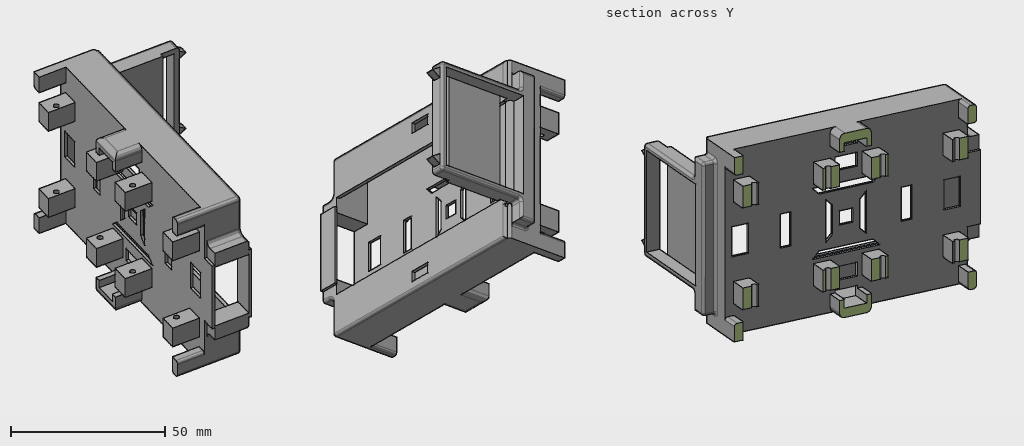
import cadquery as cq

length = 100.0
end_depth = 4.9
body_left = end_depth
body_right = length - end_depth
body_mid = length / 2
half_height = 32.5
plate_front = 10.1
plate_thickness = 1.0
body_back = 24.0
wall = 2.0
flange_thickness = 1.3
edge_radius = 1.0
corner_radius = 1.3
pick_margin = 0.1

flange_inner = 17.7
flange_slot_inner = 25.2

window_half_width = 4.1
outer_window = (25.1, 29.0)
inner_window = (16.9, 21.8)
middle_windows = ((2.5, 2.5, 0), (2.0, 6.0, 22.5), (3.1, 5.3, 39.5))
long_slot_reach = 12.5
side_slot_reach = 7.6
trapezoid_width = 2.5

pillar_z = (14.0, 21.8)
outer_pillar = (36.0, 42.0)
inner_pillar = (5.9, 12.2)
pin_offsets = (10.2, 37.7)
pin_diameter = 1.9
pin_depth = 4.0
foot_width = 3.3
foot_inner = 26.0

bracket_half_width = 6.0
bracket_radius = 2.0

socket_inner = 13.0
passage_half = 12.2
socket_outer = 18.0
socket_lip = 1.0
cap_start = 92.7
lug_fillet = 2.0

post_half_height = 27.0
post_front = 15.9
post_back = 22.0
frame_outer = 19.9
frame_rail = 2.0
opening_half = frame_outer - frame_rail
frame_top = 55.0
opening_bottom = 21.0
panel_y = (26.9, 48.0)
panel_thickness = 1.3
tooth_tip = 58.0
tooth_offset = 15.8
tooth_half_height = 1.9
tooth_x = (1.0, 4.0)
recess_radius = 2.0


def block(x_range, y_range, z_range):
    """Axis-aligned box given by its range along each axis."""
    size = [high - low for low, high in (x_range, y_range, z_range)]
    corner = (x_range[0], y_range[0], z_range[0])
    return cq.Workplane("XY").box(*size, centered=False).translate(corner)


def with_mirror(shape, plane, base=(0, 0, 0)):
    """The shape together with its mirror image."""
    return shape.union(shape.mirror(plane, base))


def both_z(shape):
    return with_mirror(shape, "XY")


def both_x(shape):
    return with_mirror(shape, "YZ", (body_mid, 0, 0))


def prism_y(points, y_start, y_end):
    """Prism along Y with an outline given in X and Z."""
    outline = cq.Workplane("XZ", origin=(0, y_start, 0)).polyline(points).close()
    return outline.extrude(y_start - y_end)


def edge_picker(x_range, y_range, z_range):
    """Selector for the edges centred within the given ranges, with a little slack."""
    ranges = (x_range, y_range, z_range)
    low = tuple(start - pick_margin for start, end in ranges)
    high = tuple(end + pick_margin for start, end in ranges)
    return cq.selectors.BoxSelector(low, high)


def mid_block(half_width, y_range, z_range):
    return block((body_mid - half_width, body_mid + half_width), y_range, z_range)


def shell():
    """Tray with a front plate, four walls and a flange along each long back edge."""
    body = block((body_left, body_right), (plate_front, body_back), (-half_height, half_height))
    body = body.edges("|Y and >X").fillet(corner_radius)
    body = body.faces(">Y").edges("not <X").fillet(edge_radius)
    inside = (body_left + wall, body_right - wall)
    cavity_y = (plate_front + plate_thickness, body_back - flange_thickness)
    cavity_half = half_height - wall
    cavity = block(inside, cavity_y, (-cavity_half, cavity_half))
    back_opening = block(inside, (plate_front + plate_thickness, body_back), (-flange_inner, flange_inner))
    slot = mid_block(window_half_width, (cavity_y[1], body_back), (flange_slot_inner, outer_window[1]))
    return body.cut(cavity).cut(back_opening).cut(both_z(slot))


def trapezoid(reach):
    """Corners of a trapezoid with 45 degree ends: distances along and out from the centre."""
    inner = reach - trapezoid_width
    return [(-reach, reach), (reach, reach), (inner, inner), (-inner, inner)]


def plate_windows():
    """All openings through the front plate."""
    y_range = (plate_front, plate_front + plate_thickness)
    openings = both_z(mid_block(window_half_width, y_range, inner_window))

    for half_width, half_tall, offset in middle_windows:
        x_mid = body_mid + offset
        rectangle = block((x_mid - half_width, x_mid + half_width), y_range, (-half_tall, half_tall))
        openings = openings.union(both_x(rectangle))

    long_slot = prism_y([(body_mid + along, out) for along, out in trapezoid(long_slot_reach)], *y_range)
    side_slot = prism_y([(body_mid + out, along) for along, out in trapezoid(side_slot_reach)], *y_range)
    return openings.union(both_z(long_slot)).union(both_x(side_slot))


def pillars():
    """Eight mounting pillars, each with a vertical pin hole."""
    shapes = cq.Workplane("XY")
    for near, far in (inner_pillar, outer_pillar):
        pillar = block((body_mid + near, body_mid + far), (0, plate_front), pillar_z)
        shapes = shapes.union(both_z(both_x(pillar)))
    centres = [(body_mid + side * offset, pin_depth) for offset in pin_offsets for side in (-1, 1)]
    pins = cq.Workplane("XY").pushPoints(centres).circle(pin_diameter / 2)
    return shapes.cut(pins.extrude(half_height, both=True))


def feet():
    """Four corner feet that carry the end walls forward."""
    y_range = (0, plate_front)
    z_range = (foot_inner, half_height)
    left = block((body_left, body_left + foot_width), y_range, z_range)
    left = left.edges("|Y and <X and <Z").fillet(edge_radius)
    right = block((body_right - foot_width, body_right), y_range, z_range)
    right = right.edges("|Y and >X and >Z").fillet(corner_radius)
    right = right.edges("|Y and ((<X and >Z) or (>X and <Z))").fillet(edge_radius)
    return both_z(left.union(right))


def brackets():
    """Two U-shaped brackets, rounded on the outside, open toward mid height."""
    bracket = mid_block(bracket_half_width, (0, plate_front), (foot_inner, half_height))
    bracket = bracket.faces(">Z").edges("<Y or <X or >X").fillet(bracket_radius)
    return both_z(bracket)


def bracket_channels():
    """Channels through the brackets that run on through the front plate."""
    through = (0, plate_front + plate_thickness)
    window = mid_block(window_half_width, through, outer_window)
    mouth = mid_block(window_half_width, (0, plate_front), (foot_inner, outer_window[1]))
    return both_z(window.union(mouth))


def end_socket():
    """Sleeve on the right end: front plate, two lugs and a back cap."""
    front = block(
        (body_right, length), (plate_front, plate_front + plate_thickness), (-socket_inner, socket_inner)
    )
    lug_front = plate_front + socket_lip
    lug = (
        cq.Workplane("XZ", origin=(0, lug_front, 0))
        .moveTo(body_right - edge_radius, passage_half)
        .lineTo(length, passage_half)
        .lineTo(length, socket_outer)
        .lineTo(body_right + lug_fillet, socket_outer)
        .radiusArc((body_right, socket_outer + lug_fillet), lug_fillet)
        .lineTo(body_right - edge_radius, socket_outer + lug_fillet)
        .close()
        .extrude(lug_front - body_back)
    )
    outer_edges = edge_picker(
        (body_right, length), (body_back, body_back), (socket_outer, socket_outer + lug_fillet)
    )
    lug = lug.faces(">Y").edges(outer_edges).fillet(edge_radius)
    cap_half = socket_inner + socket_lip
    cap = block((cap_start, length), (body_back, body_back + socket_lip), (-cap_half, cap_half))
    return front.union(both_z(lug)).union(cap)


def socket_passage():
    """Opening through the right wall into the socket."""
    y_range = (plate_front + plate_thickness, body_back)
    return block((body_right - wall, length), y_range, (-passage_half, passage_half))


def door_recess():
    """Ledge with a rounded edge, cut into the left back edge beside the door frame."""
    ledge = body_back - edge_radius
    profile = (
        cq.Workplane("XY", origin=(0, 0, -opening_half))
        .moveTo(body_left, ledge - recess_radius)
        .radiusArc((body_left + recess_radius, ledge), recess_radius)
        .lineTo(body_left + recess_radius, body_back)
        .lineTo(body_left, body_back)
        .close()
    )
    return profile.extrude(2 * opening_half)


def left_edge_step():
    """Two rounded steps along the left back edge, above the door frame."""
    ledge = body_back - edge_radius
    profile = (
        cq.Workplane("XY", origin=(0, 0, frame_outer))
        .moveTo(body_left, ledge - edge_radius)
        .radiusArc((body_left + edge_radius, ledge), edge_radius)
        .radiusArc((body_left + 2 * edge_radius, body_back), edge_radius)
        .lineTo(body_left, body_back)
        .close()
    )
    step = profile.extrude(half_height - frame_outer)
    corner_z = (frame_outer, frame_outer + edge_radius)
    corner = block((body_left, body_left + edge_radius), (ledge, body_back), corner_z)
    round_cut = cq.Workplane("XZ", origin=(body_left, ledge, corner_z[1])).circle(edge_radius)
    corner = corner.cut(round_cut.extrude(ledge - body_back))
    return both_z(step.cut(corner))


def post():
    """Post on the left wall, rounded in front and flared where it meets the wall."""
    bar = block((0, body_left), (post_front, post_back), (-post_half_height, post_half_height))
    bar = bar.edges("|X and <Y").fillet(edge_radius)
    wall_half = post_half_height + 2 * edge_radius
    wall_part = block((body_left, body_left + wall), (plate_front, post_back), (-wall_half, wall_half))
    below_back = post_back - 2 * pick_margin
    joints = edge_picker(
        (body_left, body_left), (post_front, below_back), (-post_half_height, post_half_height)
    )
    return bar.union(wall_part).edges(joints).fillet(edge_radius)


def door_frame():
    """Upright frame on the post, a panel behind it and two snap teeth on top."""
    upright = block((0, body_left), (post_back - edge_radius, frame_top), (-frame_outer, frame_outer))
    upright = upright.edges("|X and >Y").fillet(corner_radius)
    frame = post().union(upright)
    joints = edge_picker((0, body_left), (post_back, post_back), (-frame_outer, frame_outer))
    frame = frame.edges("|X").edges(joints).fillet(edge_radius)
    frame = frame.faces("<X").edges().fillet(edge_radius)

    opening = block((0, body_left), (opening_bottom, frame_top - frame_rail), (-opening_half, opening_half))
    panel = block((body_left, body_left + panel_thickness), panel_y, (-frame_outer, frame_outer))
    frame = frame.cut(opening).union(panel)

    tooth = (
        cq.Workplane("YZ", origin=(tooth_x[0], 0, 0))
        .moveTo(frame_top - edge_radius, tooth_offset - tooth_half_height)
        .lineTo(frame_top, tooth_offset - tooth_half_height)
        .lineTo(tooth_tip, tooth_offset)
        .lineTo(frame_top, tooth_offset + tooth_half_height)
        .lineTo(frame_top - edge_radius, tooth_offset + tooth_half_height)
        .close()
        .extrude(tooth_x[1] - tooth_x[0])
    )
    return frame.union(both_z(tooth))


body = shell().cut(left_edge_step()).cut(socket_passage()).cut(plate_windows())
body = body.union(pillars()).union(feet()).union(brackets()).cut(bracket_channels())
result = body.union(end_socket()).union(door_frame()).cut(door_recess())